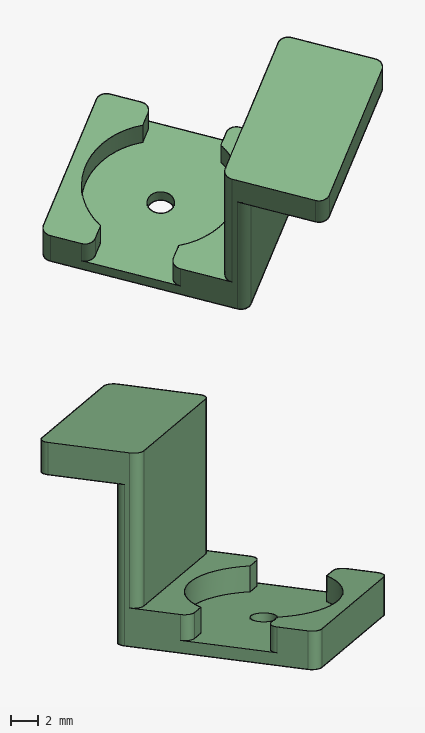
import cadquery as cq

length = 22.0
width = 14.0
height = 15.0
corner_radius = 0.8

base_length = 16.0
base_height = 3.0
floor_thickness = 1.0
channel_width = 6.0
seat_center_x = 7.0
seat_diameter = 11.6
hole_diameter = 2.0

wall_thickness = 2.0
flange_thickness = 2.5

wall_start = base_length - wall_thickness
channel_start = seat_center_x - channel_width / 2
channel_end = seat_center_x + channel_width / 2


def rounded_block(x_start, x_end, z_bottom, z_top):
    """Full-width block, centred on Y, with rounded vertical edges."""
    return (
        cq.Workplane("XY")
        .box(x_end - x_start, width, z_top - z_bottom, centered=(False, True, False))
        .edges("|Z")
        .fillet(corner_radius)
        .translate((x_start, 0, z_bottom))
    )


def vertical_cylinder(diameter, z_bottom, z_top):
    """Cylinder on the axis of the round seat."""
    return (
        cq.Workplane("XY", origin=(seat_center_x, 0, z_bottom))
        .circle(diameter / 2)
        .extrude(z_top - z_bottom)
    )


floor = rounded_block(0, base_length, 0, floor_thickness)
end_pad = rounded_block(0, channel_start, 0, base_height)
wall_pad = rounded_block(channel_end, base_length, 0, base_height)
base = floor.union(end_pad).union(wall_pad)

base = base.cut(vertical_cylinder(seat_diameter, floor_thickness, base_height))
base = base.cut(vertical_cylinder(hole_diameter, 0, floor_thickness))

wall = rounded_block(wall_start, base_length, base_height, height)
flange = rounded_block(wall_start, length, height - flange_thickness, height)

result = base.union(wall).union(flange)